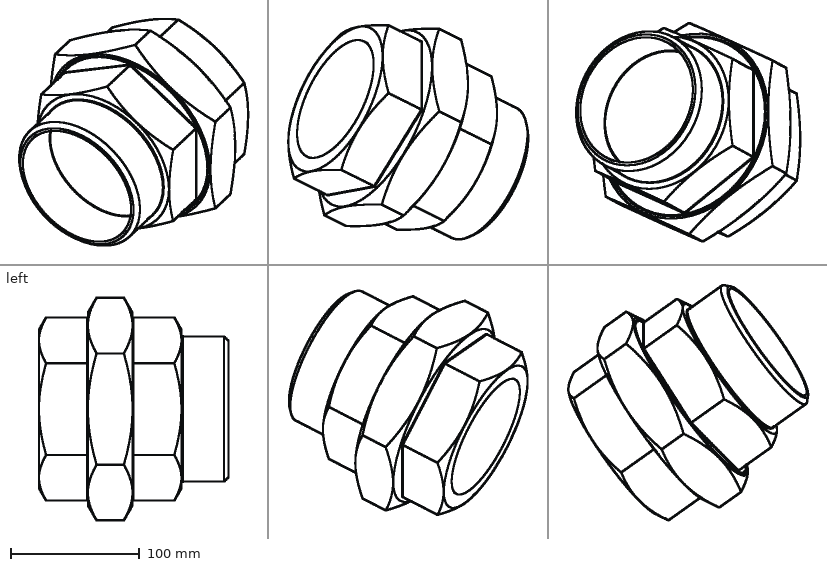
import cadquery as cq
import math

total_length = 147.5
ring_length = 0.5
spigot_end = 35.6
front_hex_start = spigot_end + 2 * ring_length
nut_start = 74.6
nut_end = 109.5
counterbore_depth = 37.5

nut_flats = 150.0
nut_corner_diameter = 173.11
nut_face_diameter = 149.5
hex_flats = 123.4
hex_root_flats = 124.0
hex_root_length = 0.5
hex_corner_diameter = 142.4
hex_face_diameter = 123.0
corner_chamfer_angle = 30.0

spigot_diameter = 113.03
spigot_chamfer = 3.6
small_ring_diameter = 113.23
large_ring_diameter = 113.43
bore_diameter = 100.0
counterbore_diameter = 101.2

groove_outer_diameter = 145.4
groove_inner_diameter = 144.0
groove_depth = 1.0


def cylinder(diameter, start, end):
    """Solid cylinder on the Y axis between two stations."""
    plane = cq.Workplane("XZ", origin=(0, start, 0))
    return plane.circle(diameter / 2).extrude(start - end)


def hexagon(flats, start, end):
    """Sharp hexagonal prism on the Y axis with corners up and down."""
    sharp_corner_diameter = flats / math.cos(math.radians(30))
    plane = cq.Workplane("XZ", origin=(0, start, 0))
    prism = plane.polygon(6, sharp_corner_diameter).extrude(start - end)
    return prism.rotate((0, 0, 0), (0, 1, 0), 30)


def turned_blank(corner_diameter, face_diameter, start, end, chamfer_start, chamfer_end):
    """Cylinder with conical chamfers on the chosen ends."""
    face_radius = face_diameter / 2
    corner_radius = corner_diameter / 2
    radial_drop = corner_radius - face_radius
    axial_drop = radial_drop * math.tan(math.radians(corner_chamfer_angle))
    profile = cq.Workplane("XY").moveTo(0, start)
    if chamfer_start:
        profile = profile.lineTo(face_radius, start).lineTo(corner_radius, start + axial_drop)
    else:
        profile = profile.lineTo(corner_radius, start)
    if chamfer_end:
        profile = profile.lineTo(corner_radius, end - axial_drop).lineTo(face_radius, end)
    else:
        profile = profile.lineTo(corner_radius, end)
    return profile.lineTo(0, end).close().revolve(360, (0, 0, 0), (0, 1, 0))


def make_spigot():
    """Chamfered spigot with two shallow rings where it meets the front hexagon."""
    spigot = cylinder(spigot_diameter, 0, front_hex_start)
    spigot = spigot.faces("<Y").chamfer(spigot_chamfer)
    small_ring = cylinder(small_ring_diameter, spigot_end, front_hex_start)
    large_ring = cylinder(large_ring_diameter, spigot_end + ring_length, front_hex_start)
    return spigot.union(small_ring).union(large_ring)


def make_body_hexagon(start, end, chamfer_start, chamfer_end):
    blank = turned_blank(hex_corner_diameter, hex_face_diameter, start, end, chamfer_start, chamfer_end)
    return hexagon(hex_flats, start, end).intersect(blank)


def make_nut():
    """Union nut, chamfered on both ends, with the clearance groove in its front face."""
    blank = turned_blank(nut_corner_diameter, nut_face_diameter, nut_start, nut_end, True, True)
    nut = hexagon(nut_flats, nut_start, nut_end).intersect(blank)
    groove_end = nut_start + groove_depth
    groove = cylinder(groove_outer_diameter, nut_start, groove_end)
    groove = groove.cut(cylinder(groove_inner_diameter, nut_start, groove_end))
    return nut.cut(groove)


def make_hexagon_root(start, end):
    """Wider foot of a body hexagon where it meets the nut."""
    blank = cylinder(hex_corner_diameter, start, end)
    return hexagon(hex_root_flats, start, end).intersect(blank)


front_root = make_hexagon_root(nut_start - hex_root_length, nut_start)
back_root = make_hexagon_root(nut_end, nut_end + hex_root_length)
front_hexagon = make_body_hexagon(front_hex_start, nut_start, True, False)
back_hexagon = make_body_hexagon(nut_end, total_length, False, True)
bore = cylinder(bore_diameter, 0, total_length)
counterbore = cylinder(counterbore_diameter, 0, counterbore_depth)

result = make_nut().union(make_spigot()).union(front_hexagon).union(back_hexagon)
result = result.union(front_root).union(back_root)
result = result.cut(bore).cut(counterbore)